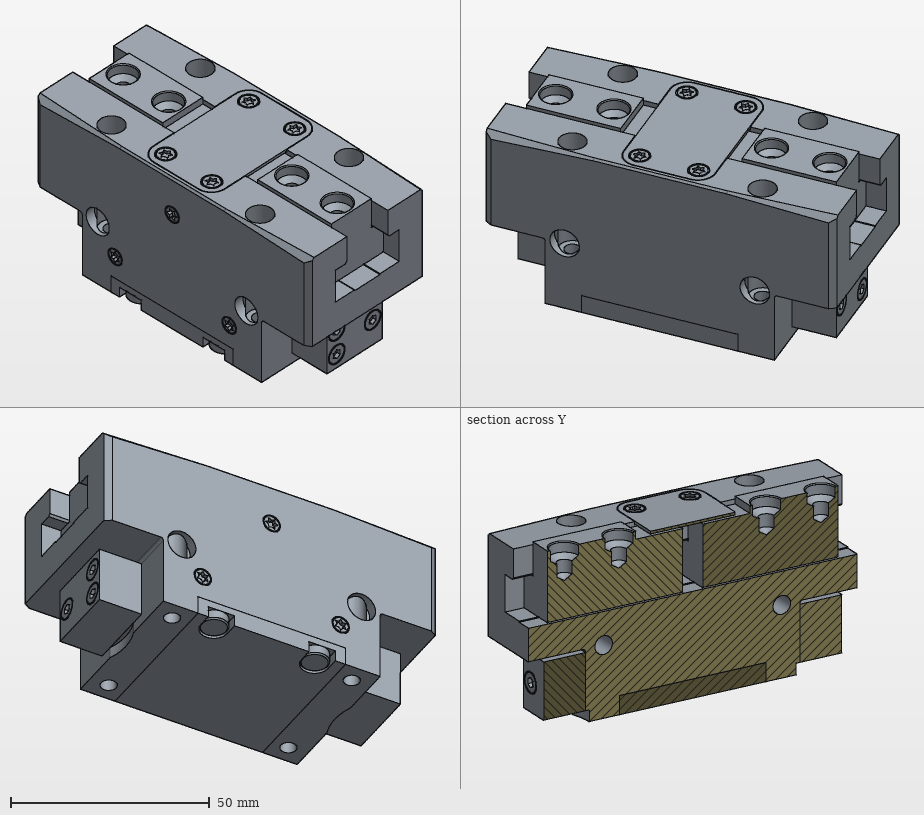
import cadquery as cq
import math


LENGTH = 96
WIDTH = 42.0
HOUSING_TOP = 48.1
BASE_LENGTH = 62.8
BASE_HEIGHT = 20.0
STEP_FILLET = 0.8
CORNER_CUT_X = 1.8
CORNER_CUT_Y = 1.2
EDGE_CUT_MIDDLE = 0.6
EDGE_CUT_END = 1.8
EDGE_CUT_FLAT_LENGTH = 36.5

T_FLOOR = 29.5
T_LIP = 39.6
T_WIDTH = 23
STEM_WIDTH = 14.4
STEM_GAP = 0.2
LIP_CHAMFER = 0.6
FLOOR_GROOVE_WIDTH = 9.1
FLOOR_GROOVE_DEPTH = 0.3
JAW_TOP = 49
JAW_OUTER_END = 42.4
JAW_PAD_LENGTH = 25.8
JAW_INNER_END = 2.9
JAW_TAIL_TOP = 46.8
JAW_HOLE_SPACING = 15.9
JAW_HOLE_DIAMETER = 8.1
JAW_HOLE_DEPTH = 3.0
JAW_HOLE_CHAMFER = 0.3
JAW_PILOT_DIAMETER = 4.2
JAW_PILOT_DEPTH = 7.7
DRILL_POINT_ANGLE = 118

COVER_LENGTH = 24.8
COVER_WIDTH = 38.8
COVER_THICKNESS = 0.9
COVER_CORNER_RADIUS = 4.6
COVER_GAP = 0.2

MOUNT_X = 26.0
TOP_MOUNT_Y = 16.0
TOP_MOUNT_DIAMETER = 4.3
TOP_MOUNT_BORE_DIAMETER = 7.4
TOP_MOUNT_BORE_FLOOR = 15.0
SIDE_MOUNT_DIAMETER = 5.0
SIDE_MOUNT_BORE_DIAMETER = 8.1
SIDE_MOUNT_BORE_DEPTH = 3.0
SIDE_MOUNT_Z = BASE_HEIGHT

SCALLOP_RADIUS = 16.3
SCALLOP_WIDTH = 11.9

BLOCK_LENGTH = 12.2
BLOCK_WIDTH = 20.0
BLOCK_BOTTOM = 3.2
BLOCK_TOP = 19.1
BLOCK_SCREWS = [(6.5, 11.1), (-6.4, 15.0), (-6.4, 7.5)]

PLATE_LENGTH = 42.7
PLATE_THICKNESS = 5.2
PAD_X = 14.6
PAD_DIAMETER = 7.6
PAD_BOTTOM = 0.5
PAD_TOP = 3.2
PAD_CHAMFER = 0.4
PAD_Y = -(WIDTH - PAD_DIAMETER) / 2

STAR_TIP_RADIUS = 1.7
STAR_VALLEY_RADIUS = 1.1
STAR_POINTS = 6
HEX_FLATS = 2.4
SOCKET_DEPTH = 1.2
GROOVE_DEPTH = 0.4
HOUSING_SCREW_RADII = (2.5, 2.2)
COVER_SCREW_RADII = (2.8, 2.4)
BLOCK_SCREW_RADII = (3.0, 2.7)
FRONT_SCREW_Z = 36.5
BASE_SCREW_X = 20.0
BASE_SCREW_Z = 12.0
COVER_SCREW_X = 8.1
COVER_SCREW_Y = 15.0

ENDS = (-1, 1)
SIDES = (-1, 1)


def box(x_range, y_range, z_range):
    """Axis-aligned block between the given limits."""
    (x0, x1), (y0, y1), (z0, z1) = x_range, y_range, z_range
    return cq.Workplane("XY").box(x1 - x0, y1 - y0, z1 - z0, centered=False).translate((x0, y0, z0))


def centered_box(length, width, z_bottom, z_top):
    """Block centred on X and Y."""
    return box((-length / 2, length / 2), (-width / 2, width / 2), (z_bottom, z_top))


def vertical_cylinder(x, y, diameter, z_bottom, z_top):
    return cq.Workplane("XY", origin=(x, y, z_bottom)).circle(diameter / 2).extrude(z_top - z_bottom)


def star_points(first_angle):
    """Corners of a six-pointed star, with one tip at first_angle."""
    points = []
    for index in range(2 * STAR_POINTS):
        radius = STAR_VALLEY_RADIUS if index % 2 else STAR_TIP_RADIUS
        angle = math.radians(first_angle) + index * math.pi / STAR_POINTS
        points.append((radius * math.cos(angle), radius * math.sin(angle)))
    return points


def ring_groove(face, radii):
    outer, inner = radii
    return face.circle(outer).circle(inner).extrude(-GROOVE_DEPTH)


def star_screw_cut(face, radii, first_angle):
    """Ring groove and star socket, sunk into the given face plane."""
    socket = face.polyline(star_points(first_angle)).close().extrude(-SOCKET_DEPTH)
    return ring_groove(face, radii).union(socket)


def hex_screw_cut(face, radii):
    """Ring groove and hexagon socket, sunk into the given face plane."""
    corner_diameter = HEX_FLATS / math.cos(math.pi / 6)
    socket = face.transformed(rotate=(0, 0, 90)).polygon(6, corner_diameter).extrude(-SOCKET_DEPTH)
    return ring_groove(face, radii).union(socket)


def plan_outline():
    """Rectangle with its four corners cut off."""
    x = LENGTH / 2
    y = WIDTH / 2
    corner = [(x - CORNER_CUT_X, y), (x, y - CORNER_CUT_Y)]
    points = corner + [(px, -py) for px, py in reversed(corner)]
    return points + [(-px, -py) for px, py in points]


def edge_triangle(leg, x, side):
    """Section of the sloping cut along a long top edge, at position x."""
    edge_y = side * WIDTH / 2
    points = [(edge_y, HOUSING_TOP), (edge_y - side * leg, HOUSING_TOP), (edge_y, HOUSING_TOP - leg)]
    return cq.Wire.makePolygon([cq.Vector(x, y, z) for y, z in points], close=True)


def edge_cut(side):
    """45-degree cut along a long top edge, constant in the middle and widening to both ends."""
    flat = EDGE_CUT_FLAT_LENGTH / 2
    stations = [
        (-LENGTH / 2, EDGE_CUT_END),
        (-flat, EDGE_CUT_MIDDLE),
        (flat, EDGE_CUT_MIDDLE),
        (LENGTH / 2, EDGE_CUT_END),
    ]
    sections = [edge_triangle(leg, x, side) for x, leg in stations]
    return cq.Workplane(obj=cq.Solid.makeLoft(sections, True))


def t_slot():
    """T-slot through the whole length, with chamfered lips and a shallow groove in its floor."""
    half_t = T_WIDTH / 2
    half_stem = STEM_WIDTH / 2 + STEM_GAP
    half_groove = FLOOR_GROOVE_WIDTH / 2
    groove_floor = T_FLOOR - FLOOR_GROOVE_DEPTH
    right_side = [
        (half_groove, groove_floor),
        (half_groove, T_FLOOR),
        (half_t, T_FLOOR),
        (half_t, T_LIP),
        (half_stem + LIP_CHAMFER, T_LIP),
        (half_stem, T_LIP + LIP_CHAMFER),
        (half_stem, HOUSING_TOP),
    ]
    left_side = [(-y, z) for y, z in reversed(right_side)]
    section = cq.Workplane("YZ", origin=(-LENGTH / 2, 0, 0)).polyline(right_side + left_side).close()
    return section.extrude(LENGTH)


def cover_shape(gap):
    """Rounded plate flush with the housing top, grown sideways by gap."""
    plate = centered_box(
        COVER_LENGTH + 2 * gap, COVER_WIDTH + 2 * gap, HOUSING_TOP - COVER_THICKNESS, HOUSING_TOP
    )
    return plate.edges("|Z").fillet(COVER_CORNER_RADIUS + gap)


def bottom_plate_blank():
    return centered_box(PLATE_LENGTH, WIDTH, 0, PLATE_THICKNESS)


def top_mount_hole(x, y):
    hole = vertical_cylinder(x, y, TOP_MOUNT_DIAMETER, 0, HOUSING_TOP)
    return hole.union(vertical_cylinder(x, y, TOP_MOUNT_BORE_DIAMETER, TOP_MOUNT_BORE_FLOOR, HOUSING_TOP))


def side_mount_hole(x):
    """Hole through the width, counterbored from both sides."""
    front = cq.Workplane("XZ", origin=(x, -WIDTH / 2, SIDE_MOUNT_Z))
    back = cq.Workplane("XZ", origin=(x, WIDTH / 2, SIDE_MOUNT_Z))
    hole = front.circle(SIDE_MOUNT_DIAMETER / 2).extrude(-WIDTH)
    hole = hole.union(front.circle(SIDE_MOUNT_BORE_DIAMETER / 2).extrude(-SIDE_MOUNT_BORE_DEPTH))
    return hole.union(back.circle(SIDE_MOUNT_BORE_DIAMETER / 2).extrude(SIDE_MOUNT_BORE_DEPTH))


def scallop(end):
    """Shallow round recess in an end face of the base, below the end block."""
    center_offset = math.sqrt(SCALLOP_RADIUS**2 - (SCALLOP_WIDTH / 2) ** 2)
    center_x = end * (BASE_LENGTH / 2 + center_offset)
    return vertical_cylinder(center_x, 0, 2 * SCALLOP_RADIUS, 0, BLOCK_BOTTOM)


def front_screw_cut(x, z, first_angle):
    face = cq.Workplane("XZ", origin=(x, -WIDTH / 2, z))
    return star_screw_cut(face, HOUSING_SCREW_RADII, first_angle)


def make_housing():
    upper = cq.Workplane("XY", origin=(0, 0, BASE_HEIGHT)).polyline(plan_outline()).close()
    upper = upper.extrude(HOUSING_TOP - BASE_HEIGHT)
    for side in SIDES:
        upper = upper.cut(edge_cut(side))

    half_base = BASE_LENGTH / 2
    fillet_foot = half_base + STEP_FILLET
    fillet_start = BASE_HEIGHT - STEP_FILLET
    fillet_bow = STEP_FILLET * (1 - math.sqrt(0.5))
    fillet_middle = (half_base + fillet_bow, BASE_HEIGHT - fillet_bow)
    profile = cq.Workplane("XZ", origin=(0, WIDTH / 2, 0)).moveTo(-half_base, 0).lineTo(half_base, 0)
    profile = profile.lineTo(half_base, fillet_start)
    profile = profile.threePointArc(fillet_middle, (fillet_foot, BASE_HEIGHT))
    profile = profile.lineTo(-fillet_foot, BASE_HEIGHT)
    profile = profile.threePointArc((-fillet_middle[0], fillet_middle[1]), (-half_base, fillet_start))
    base = profile.close().extrude(WIDTH)

    housing = upper.union(base)
    housing = housing.cut(t_slot()).cut(cover_shape(COVER_GAP)).cut(bottom_plate_blank())
    for end in ENDS:
        housing = housing.cut(side_mount_hole(end * MOUNT_X)).cut(scallop(end))
        for side in SIDES:
            housing = housing.cut(top_mount_hole(end * MOUNT_X, side * TOP_MOUNT_Y))
        housing = housing.cut(front_screw_cut(end * BASE_SCREW_X, BASE_SCREW_Z, 90))
    return housing.cut(front_screw_cut(0, FRONT_SCREW_Z, 0))


def jaw_hole(x):
    """Chamfered sleeve bore with a conical floor, then a pilot hole with a drill point."""
    slope = 1 / math.tan(math.radians(DRILL_POINT_ANGLE / 2))
    bore = JAW_HOLE_DIAMETER / 2
    pilot = JAW_PILOT_DIAMETER / 2
    bore_floor = JAW_TOP - JAW_HOLE_DEPTH
    pilot_floor = JAW_TOP - JAW_PILOT_DEPTH
    profile = [
        (0, JAW_TOP),
        (bore + JAW_HOLE_CHAMFER, JAW_TOP),
        (bore, JAW_TOP - JAW_HOLE_CHAMFER),
        (bore, bore_floor),
        (pilot, bore_floor - (bore - pilot) * slope),
        (pilot, pilot_floor),
        (0, pilot_floor - pilot * slope),
    ]
    section = cq.Workplane("XZ", origin=(x, 0, 0)).polyline(profile).close()
    return section.revolve(360, (0, 0, 0), (0, 1, 0))


def make_jaw(end):
    """T-shaped jaw whose raised pad ends before the cover; a low tail runs under the cover."""
    pad_inner_end = JAW_OUTER_END - JAW_PAD_LENGTH
    length_range = sorted((end * JAW_INNER_END, end * JAW_OUTER_END))
    pad_range = sorted((end * pad_inner_end, end * JAW_OUTER_END))
    stem_range = (-STEM_WIDTH / 2, STEM_WIDTH / 2)

    jaw = box(length_range, (-T_WIDTH / 2, T_WIDTH / 2), (T_FLOOR, T_LIP))
    jaw = jaw.union(box(length_range, stem_range, (T_LIP, JAW_TAIL_TOP)))
    jaw = jaw.union(box(pad_range, stem_range, (JAW_TAIL_TOP, JAW_TOP)))
    pad_center = (JAW_OUTER_END + pad_inner_end) / 2
    for offset in (-JAW_HOLE_SPACING / 2, JAW_HOLE_SPACING / 2):
        jaw = jaw.cut(jaw_hole(end * (pad_center + offset)))
    return jaw


def make_cover():
    cover = cover_shape(0)
    for end in ENDS:
        for side, first_angle in ((-1, 90), (1, 0)):
            face = cq.Workplane("XY", origin=(end * COVER_SCREW_X, side * COVER_SCREW_Y, HOUSING_TOP))
            cover = cover.cut(star_screw_cut(face, COVER_SCREW_RADII, first_angle))
    return cover


def make_end_block(end):
    inner_face = end * BASE_LENGTH / 2
    outer_face = inner_face + end * BLOCK_LENGTH
    block = box(
        sorted((inner_face, outer_face)), (-BLOCK_WIDTH / 2, BLOCK_WIDTH / 2), (BLOCK_BOTTOM, BLOCK_TOP)
    )
    for y, z in BLOCK_SCREWS:
        plane = cq.Plane(origin=(outer_face, y, z), xDir=(0, end, 0), normal=(end, 0, 0))
        block = block.cut(hex_screw_cut(cq.Workplane(plane), BLOCK_SCREW_RADII))
    return block


def make_bottom_plate():
    """Plate let into the base, with a round-ended slot for each pad, open at the front."""
    plate = bottom_plate_blank()
    half_pad = PAD_DIAMETER / 2
    for end in ENDS:
        x = end * PAD_X
        plate = plate.cut(box((x - half_pad, x + half_pad), (-WIDTH / 2, PAD_Y), (0, PAD_TOP)))
        plate = plate.cut(vertical_cylinder(x, PAD_Y, PAD_DIAMETER, 0, PAD_TOP))
    return plate


def make_pad(end):
    pad = vertical_cylinder(end * PAD_X, PAD_Y, PAD_DIAMETER, PAD_BOTTOM, PAD_TOP)
    return pad.faces("<Z").chamfer(PAD_CHAMFER)


housing = make_housing().solids()
cover = make_cover().solids()
bottom_plate = make_bottom_plate().solids()
jaws = [make_jaw(end).solids().val() for end in ENDS]
end_blocks = [make_end_block(end).solids().val() for end in ENDS]
pads = [make_pad(end).solids().val() for end in ENDS]

result = cq.Compound.makeCompound(
    [housing.val(), cover.val(), bottom_plate.val(), *jaws, *end_blocks, *pads]
)